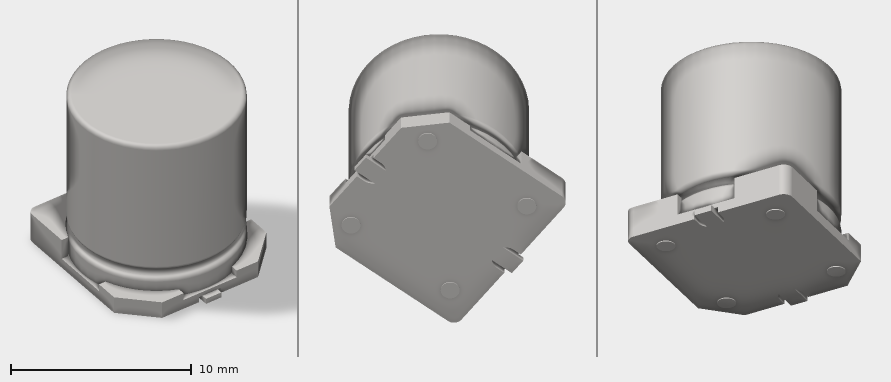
import cadquery as cq

total_height = 11.15
foot_height = 0.06
base_width = 10.3
base_wall_height = 1.92
low_corner_height = 1.08
seat_height = 0.61
bore_radius = 5.04
corner_chamfer = 1.91
corner_radius = 0.54
notch_width = 3.59

can_radius = 5.0
can_edge_radius = 0.27
bead_top = 1.94
can_lower_edge = 2.46
groove_radius = 4.52

lead_span = 11.0
lead_width = 1.04
lead_thickness = 0.35
lead_slot_width = 1.5
lead_slot_straight = 0.5
foot_diameter = 1.05
foot_offset = 3.47

half_width = base_width / 2
can_height = total_height - foot_height


def block(x_size, y_size, z_bottom, z_top, x=0, y=0):
    """Box centred on (x, y) between two heights."""
    return (
        cq.Workplane("XY", origin=(x, y, z_bottom))
        .rect(x_size, y_size)
        .extrude(z_top - z_bottom)
    )


def make_base():
    """Plate with four raised corners around the can, the +X pair lower."""
    base = block(base_width, base_width, 0, base_wall_height)
    base = base.edges("|Z and >X").chamfer(corner_chamfer)
    base = base.edges("|Z and <X").fillet(corner_radius)
    base = base.cut(block(notch_width, base_width, seat_height, base_wall_height))
    base = base.cut(block(base_width, notch_width, seat_height, base_wall_height))
    low_side = block(half_width, base_width, low_corner_height, base_wall_height, x=half_width / 2)
    base = base.cut(low_side)
    bore = cq.Workplane("XY", origin=(0, 0, seat_height)).circle(bore_radius).extrude(base_wall_height)
    base = base.cut(bore)
    for side in (-1, 1):
        round_end = cq.Workplane("XY").center(side * (half_width - lead_slot_straight), 0)
        base = base.cut(round_end.circle(lead_slot_width / 2).extrude(lead_thickness))
        slot_x = side * (half_width - lead_slot_straight / 2)
        base = base.cut(block(lead_slot_straight, lead_slot_width, 0, lead_thickness, x=slot_x))
    return base


def make_can():
    """Revolved can with rounded edges and a rounded groove above its bottom bead, which ends at the seat."""
    rim_radius = can_radius - can_edge_radius
    bend = can_edge_radius * (1 - 0.5 ** 0.5)
    groove_middle = (bead_top + can_lower_edge) / 2
    profile = (
        cq.Workplane("XZ")
        .moveTo(0, seat_height)
        .lineTo(can_radius, seat_height)
        .lineTo(can_radius, bead_top - can_edge_radius)
        .threePointArc((can_radius - bend, bead_top - bend), (rim_radius, bead_top))
        .threePointArc((groove_radius, groove_middle), (rim_radius, can_lower_edge))
        .threePointArc(
            (can_radius - bend, can_lower_edge + bend),
            (can_radius, can_lower_edge + can_edge_radius),
        )
        .lineTo(can_radius, can_height - can_edge_radius)
        .threePointArc((can_radius - bend, can_height - bend), (rim_radius, can_height))
        .lineTo(0, can_height)
        .close()
    )
    return profile.revolve(360, (0, 0, 0), (0, 1, 0))


def make_leads():
    """One bar across the underside whose ends form the two leads."""
    return block(lead_span, lead_width, 0, lead_thickness)


def make_feet():
    """Four thin round pads under the base."""
    spacing = 2 * foot_offset
    return (
        cq.Workplane("XY", origin=(0, 0, -foot_height))
        .rarray(spacing, spacing, 2, 2)
        .circle(foot_diameter / 2)
        .extrude(foot_height)
    )


result = make_base().union(make_can()).union(make_leads()).union(make_feet())
result = result.translate((0, 0, foot_height))